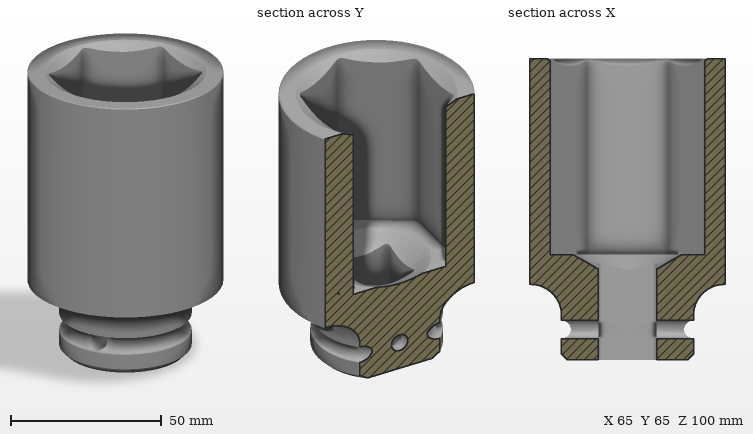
import cadquery as cq
import math

height = 100.0
body_radius = 65.0 / 2
rim_chamfer = 0.3

neck_radius = 44.0 / 2
body_bottom = 25.0
neck_fillet = 10.0
groove_radius = 3.0
groove_height = 10.2
base_chamfer = 2.0

hex_across_flats = 44.8
hex_corner_radius = 2.7
hex_floor = 35.0
mouth_radius = 53.6 / 2
cone_angle = 30.0

square_side = 19.2
square_corner_radius = 1.5
funnel_radius = 18.0


def make_outer_body():
    """Revolve the half profile, with a flared neck and a round groove."""
    fillet_center_radius = neck_radius + neck_fillet
    fillet_bottom = body_bottom - neck_fillet
    diagonal = neck_fillet * math.sqrt(0.5)
    profile = (
        cq.Workplane("XZ")
        .lineTo(neck_radius - base_chamfer, 0)
        .lineTo(neck_radius, base_chamfer)
        .lineTo(neck_radius, groove_height - groove_radius)
        .threePointArc(
            (neck_radius - groove_radius, groove_height),
            (neck_radius, groove_height + groove_radius),
        )
        .lineTo(neck_radius, fillet_bottom)
        .threePointArc(
            (fillet_center_radius - diagonal, fillet_bottom + diagonal),
            (fillet_center_radius, body_bottom),
        )
        .lineTo(body_radius, body_bottom)
        .lineTo(body_radius, height - rim_chamfer)
        .lineTo(body_radius - rim_chamfer, height)
        .lineTo(0, height)
        .close()
    )
    return profile.revolve(360, (0, 0, 0), (0, 1, 0))


def make_cone(wide_radius, wide_height):
    """Cone that tapers downward to a point on the axis."""
    tip_height = wide_height - wide_radius * math.tan(math.radians(cone_angle))
    profile = (
        cq.Workplane("XZ")
        .moveTo(0, tip_height)
        .lineTo(wide_radius, wide_height)
        .lineTo(0, wide_height)
        .close()
    )
    return profile.revolve(360, (0, 0, 0), (0, 1, 0))


def make_hex_pocket():
    hex_across_corners = hex_across_flats / math.cos(math.radians(30))
    return (
        cq.Workplane("XY", origin=(0, 0, hex_floor))
        .polygon(6, hex_across_corners)
        .extrude(height - hex_floor)
        .edges("|Z")
        .fillet(hex_corner_radius)
        .rotate((0, 0, 0), (0, 0, 1), 30)
    )


def make_square_hole():
    return (
        cq.Workplane("XY")
        .rect(square_side, square_side)
        .extrude(hex_floor)
        .edges("|Z")
        .fillet(square_corner_radius)
    )


def make_pin_hole():
    """Cross hole along Y, as wide as the groove it lies in."""
    return (
        cq.Workplane("XZ", origin=(0, 0, groove_height))
        .circle(groove_radius)
        .extrude(body_radius, both=True)
    )


result = (
    make_outer_body()
    .cut(make_hex_pocket())
    .cut(make_cone(mouth_radius, height))
    .cut(make_cone(funnel_radius, hex_floor))
    .cut(make_square_hole())
    .cut(make_pin_hole())
)